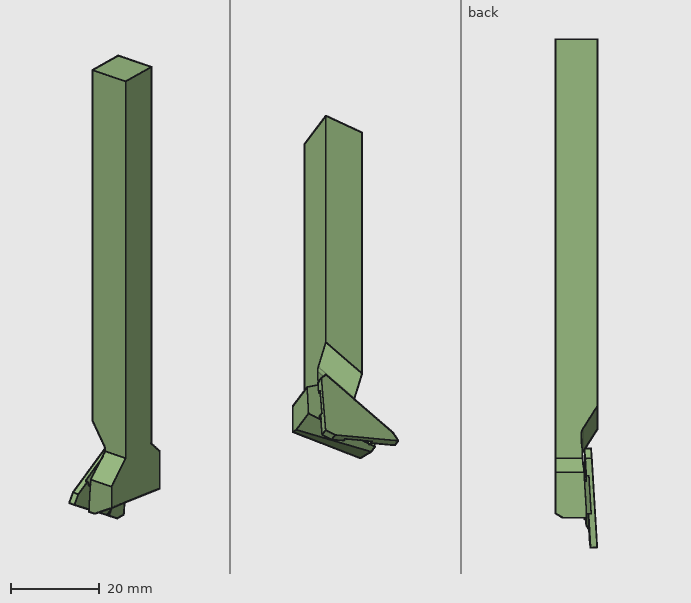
import cadquery as cq
import math

total_length = 114.4
shank_width = 9.5
half_width = shank_width / 2

head_bottom = 6.8
head_top = 20.1
head_front = 5.1
head_back = 3.1
head_front_y = -half_width - head_front
head_back_y = half_width + head_back

bevel_front_width = 4.8
bevel_front_height = 2.9
bevel_back_ratio = 0.34

seat_turn = math.radians(29)
seat_tilt = math.radians(4)
seat_floor_x = 2.3
shoulder_height = 20.6
shoulder_angle = math.radians(40)
shoulder_fillet = 1.7
cut_reach = 45.8

insert_side = 24.6
insert_inradius = insert_side / (2 * math.sqrt(3))
insert_thickness = 2.1
triangle_angle = math.radians(60)
side_turn = math.radians(120)
insert_center_y = -2.1
insert_center_z = 10.9
corner_cut = 1.5
tip_length = 9.2
tip_thinning = 0.6
notch_length = 8.6
notch_offset = 1.1
notch_depth = 1.1
notch_width = 3.4

along = cq.Vector(0, math.cos(seat_turn), math.sin(seat_turn))
into_holder = cq.Vector(
    math.cos(seat_tilt),
    math.sin(seat_tilt) * math.sin(seat_turn),
    -math.sin(seat_tilt) * math.cos(seat_turn),
)
across = into_holder.cross(along)
seat_origin = cq.Vector(seat_floor_x, 0, 0)


def make_seat_cut():
    """Everything in front of the seat floor and below the shoulder."""
    section = cq.Plane(seat_origin - along * cut_reach, across, along)
    shoulder_end = shoulder_height + cut_reach / math.tan(shoulder_angle)
    outline = [
        (shoulder_height, 0),
        (shoulder_end, -cut_reach),
        (-cut_reach, -cut_reach),
        (-cut_reach, 0),
    ]
    cut = cq.Workplane(section).polyline(outline).close().extrude(2 * cut_reach)
    foot = seat_origin + across * shoulder_height
    return cut.edges(cq.selectors.NearestToPointSelector(foot.toTuple())).fillet(shoulder_fillet)


def make_bevel_cut():
    """Wedge that bevels the bottom +X edge of the head."""

    def corner(y, scale):
        width = bevel_front_width * scale
        height = bevel_front_height * scale
        points = [
            cq.Vector(shank_width - width, y, head_bottom),
            cq.Vector(shank_width, y, head_bottom),
            cq.Vector(shank_width, y, head_bottom + height),
        ]
        return cq.Wire.makePolygon(points, close=True)

    return cq.Solid.makeLoft([corner(head_front_y, 1), corner(head_back_y, bevel_back_ratio)], True)


def make_holder():
    shank = cq.Workplane("XY", origin=(half_width, 0, head_top)).rect(shank_width, shank_width)
    shank = shank.extrude(total_length - head_top)
    head_outline = [
        (half_width, head_top),
        (head_back_y, head_top - head_back),
        (head_back_y, head_bottom),
        (head_front_y, head_bottom),
        (head_front_y, head_top - head_front),
        (-half_width, head_top),
    ]
    head = cq.Workplane("YZ").polyline(head_outline).close().extrude(shank_width)
    return shank.union(head).cut(make_bevel_cut()).cut(make_seat_cut())


def turned(point, angle):
    x, y = point
    return (x * math.cos(angle) - y * math.sin(angle), x * math.sin(angle) + y * math.cos(angle))


def make_insert_outline():
    """Corners of the insert about its center, counterclockwise, starting with the top side."""
    half_side = insert_side / 2
    corner_cut_other_side = corner_cut / math.cos(triangle_angle)
    top_right = (half_side - corner_cut, insert_inradius)
    top_left = (-half_side + corner_cut_other_side, insert_inradius)
    outline = []
    for side in range(3):
        outline.append(turned(top_right, side * side_turn))
        outline.append(turned(top_left, side * side_turn))
    return outline


def make_tip_cut():
    """Block that thins the tip at the bottom corner, on the face towards the holder."""
    tip_height = tip_length * math.cos(triangle_angle / 2)
    bottom_corner = -2 * insert_inradius
    tip = cq.Workplane("XY").rect(insert_side, 2 * tip_height).extrude(-tip_thinning)
    return tip.translate((0, bottom_corner, 0))


def make_notch_cut():
    """Wedge that chamfers the top side near its middle, on the face towards the holder."""
    section = [
        (insert_inradius - notch_width, 0),
        (insert_inradius, 0),
        (insert_inradius, -notch_depth),
    ]
    notch = cq.Workplane("YZ").polyline(section).close().extrude(notch_length / 2, both=True)
    return notch.translate((-notch_offset, 0, 0))


def make_insert():
    """Insert lying on the seat floor, one side of the triangle parallel to the shoulder."""
    insert = cq.Workplane("XY").polyline(make_insert_outline()).close().extrude(-insert_thickness)
    tip_cut = make_tip_cut()
    notch_cut = make_notch_cut()
    for side in range(3):
        angle = math.degrees(side * side_turn)
        insert = insert.cut(tip_cut.rotate((0, 0, 0), (0, 0, 1), angle))
        insert = insert.cut(notch_cut.rotate((0, 0, 0), (0, 0, 1), angle))

    center_along = insert_center_y * along.y + insert_center_z * along.z
    center_across = insert_center_z * along.y - insert_center_y * along.z
    center = seat_origin + along * center_along + across * center_across
    seat = cq.Plane(center, along, into_holder)
    return insert.solids().val().moved(cq.Location(seat))


holder = make_holder()
insert = make_insert()
result = cq.Compound.makeCompound([holder.solids().val(), insert])